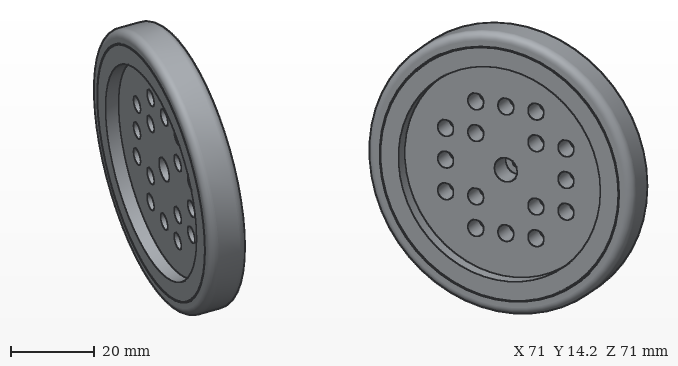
import cadquery as cq

tire_diameter = 71.0
tire_width = 9.6
tire_edge_radius = 2.0
seat_diameter = 64.0

front_rim_diameter = 63.4
groove_depth = 2.1
recess_diameter = 53.9
recess_depth = 3.4

hub_diameter = 11.6
hub_length = 4.55
bore_diameter = 6.0
bore_depth = 6.0
axle_hole_diameter = 2.5

web_hole_diameter = 4.2
hole_pitch = 8.0
grid_reach = 2

tire_front_y = -tire_width
groove_floor_y = tire_front_y + groove_depth
web_front_y = tire_front_y + recess_depth
hub_back_y = hub_length


def cylinder_along_y(diameter, start_y, end_y, x=0, z=0):
    """Solid cylinder parallel to Y between two Y positions."""
    base = cq.Workplane("XZ", origin=(x, start_y, z))
    return base.circle(diameter / 2).extrude(start_y - end_y)


def make_tire():
    ring = cylinder_along_y(tire_diameter, tire_front_y, 0)
    ring = ring.edges().fillet(tire_edge_radius)
    return ring.cut(cylinder_along_y(seat_diameter, tire_front_y, 0))


def web_hole_positions():
    """Grid points without the corners, the center and its four direct neighbors."""
    steps = range(-grid_reach, grid_reach + 1)
    positions = []
    for column in steps:
        for row in steps:
            is_corner = abs(column) == grid_reach and abs(row) == grid_reach
            is_near_center = abs(column) + abs(row) <= 1
            if not is_corner and not is_near_center:
                positions.append((column * hole_pitch, row * hole_pitch))
    return positions


def make_wheel():
    wheel = cylinder_along_y(seat_diameter, groove_floor_y, 0)
    wheel = wheel.union(cylinder_along_y(front_rim_diameter, tire_front_y, 0))
    wheel = wheel.union(cylinder_along_y(hub_diameter, web_front_y, hub_back_y))
    wheel = wheel.cut(cylinder_along_y(recess_diameter, tire_front_y, web_front_y))

    wheel = wheel.cut(cylinder_along_y(bore_diameter, web_front_y, web_front_y + bore_depth))
    wheel = wheel.cut(cylinder_along_y(axle_hole_diameter, web_front_y, hub_back_y))

    for x, z in web_hole_positions():
        wheel = wheel.cut(cylinder_along_y(web_hole_diameter, web_front_y, 0, x, z))
    return wheel


tire = make_tire()
wheel = make_wheel()

result = cq.Compound.makeCompound([tire.val(), wheel.val()])